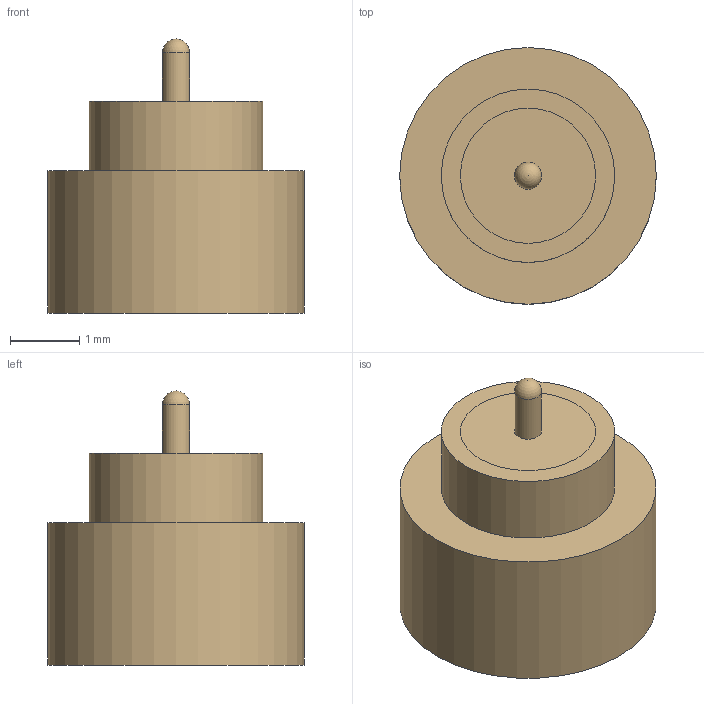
import cadquery as cq
import math

BODY_DIAMETER = 3.7
BODY_HEIGHT = 2.05
COLLAR_DIAMETER = 2.5
COLLAR_HEIGHT = 1.0
INSULATOR_DIAMETER = 1.95
PIN_DIAMETER = 0.39
OVERALL_HEIGHT = 3.95

COLLAR_TOP = BODY_HEIGHT + COLLAR_HEIGHT
PIN_LENGTH = OVERALL_HEIGHT - COLLAR_TOP


def cylinder(diameter, height, base_z):
    """Upright cylinder on the Z axis, standing on base_z."""
    return cq.Workplane("XY").workplane(offset=base_z).circle(diameter / 2).extrude(height)


def make_shell():
    """Body with a narrower collar, bored through the collar for the insulator."""
    body = cylinder(BODY_DIAMETER, BODY_HEIGHT, 0)
    collar = cylinder(COLLAR_DIAMETER, COLLAR_HEIGHT, BODY_HEIGHT)
    bore = cylinder(INSULATOR_DIAMETER, COLLAR_HEIGHT, BODY_HEIGHT)
    return body.union(collar).cut(bore)


def make_pin():
    """Contact pin with a hemispherical tip, standing on the insulator."""
    radius = PIN_DIAMETER / 2
    shoulder = PIN_LENGTH - radius
    diagonal = radius * math.sqrt(0.5)
    profile = (
        cq.Workplane("XZ", origin=(0, 0, COLLAR_TOP))
        .lineTo(radius, 0)
        .lineTo(radius, shoulder)
        .threePointArc((diagonal, shoulder + diagonal), (0, PIN_LENGTH))
        .close()
    )
    return profile.revolve(360, (0, 0, 0), (0, 1, 0))


insulator = cylinder(INSULATOR_DIAMETER, COLLAR_HEIGHT, BODY_HEIGHT)
result = make_shell().union(insulator, clean=False).union(make_pin(), clean=False)